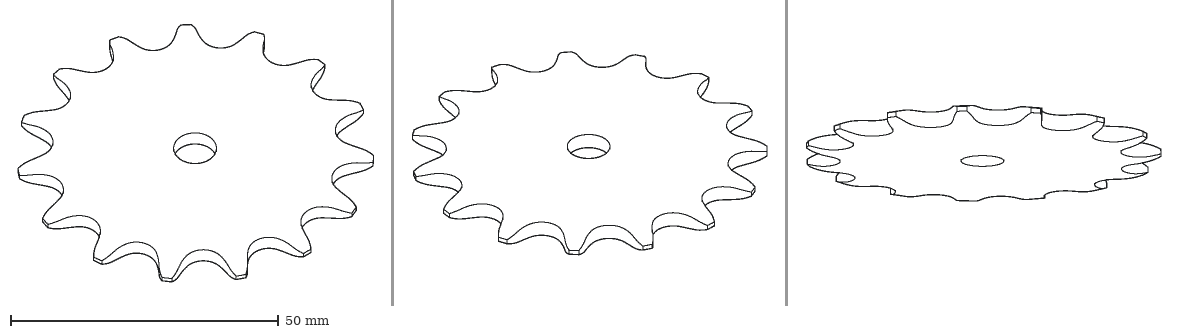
import cadquery as cq
import math


tooth_count = 15
tip_diameter = 66.8
pitch_diameter = 61.1
roller_diameter = 7.7
seating_clearance = 0.07
thickness = 3.0
bore_diameter = 8.0
side_curve_start_radius = 28.4
blank_margin = 0.65

tip_radius = tip_diameter / 2
pitch_radius = pitch_diameter / 2
half_thickness = thickness / 2
quarter_turn = math.pi / 2
tooth_step = 2 * math.pi / tooth_count
half_step = tooth_step / 2
first_tooth_angle = -quarter_turn
side_curve_radius = pitch_diameter * math.sin(half_step)

seating_radius = (1.005 * roller_diameter + seating_clearance) / 2
working_radius = 1.3025 * roller_diameter + seating_clearance / 2
seating_angle = math.radians(35 + 60 / tooth_count)
working_angle = math.radians(18 - 56 / tooth_count)
topping_angle = math.radians(17 - 64 / tooth_count)
flank_angle = seating_angle - working_angle
working_offset = 0.8 * roller_diameter
topping_offset = 1.4 * roller_diameter
topping_radius = (
    working_offset * math.cos(working_angle)
    + topping_offset * math.cos(topping_angle)
    - working_radius
)
flank_length = (
    topping_offset * math.sin(topping_angle)
    - working_offset * math.sin(working_angle)
)


def move(point, distance, angle):
    """Point moved by a distance along a direction."""
    return (point[0] + distance * math.cos(angle), point[1] + distance * math.sin(angle))


def turn(point, angle):
    """Point turned about the sprocket centre."""
    x, y = point
    return (
        x * math.cos(angle) - y * math.sin(angle),
        x * math.sin(angle) + y * math.cos(angle),
    )


def mirror(point):
    """Point mirrored across the Y axis."""
    return (-point[0], point[1])


roller_centre = (0, pitch_radius)
working_centre = move(roller_centre, working_offset, seating_angle)
topping_centre = move(roller_centre, topping_offset, math.pi + half_step)

seating_end_direction = math.pi + seating_angle
seating_middle_direction = (3 * quarter_turn + seating_end_direction) / 2
gap_root = move(roller_centre, seating_radius, 3 * quarter_turn)
seating_middle = move(roller_centre, seating_radius, seating_middle_direction)
seating_end = move(roller_centre, seating_radius, seating_end_direction)

working_middle_direction = math.pi + (seating_angle + flank_angle) / 2
working_middle = move(working_centre, working_radius, working_middle_direction)
working_end = move(working_centre, working_radius, math.pi + flank_angle)
flank_end = move(working_end, flank_length, flank_angle + quarter_turn)

topping_distance = math.hypot(topping_centre[0], topping_centre[1])
topping_centre_direction = math.atan2(topping_centre[1], topping_centre[0])
tip_corner_turn = math.acos(
    (topping_distance**2 + tip_radius**2 - topping_radius**2)
    / (2 * topping_distance * tip_radius)
)
tip_corner = move((0, 0), tip_radius, topping_centre_direction - tip_corner_turn)
tip_corner_direction = math.atan2(
    tip_corner[1] - topping_centre[1], tip_corner[0] - topping_centre[0]
)
topping_middle_direction = (flank_angle + tip_corner_direction) / 2
topping_middle = move(topping_centre, topping_radius, topping_middle_direction)

flank_points = [
    gap_root,
    seating_middle,
    seating_end,
    working_middle,
    working_end,
    flank_end,
    topping_middle,
    tip_corner,
]


def add_tooth(outline, tooth_angle):
    """Continue the outline counter-clockwise over one tooth, from gap root to gap root."""
    rising_turn = tooth_angle - half_step - quarter_turn
    falling_turn = tooth_angle + half_step - quarter_turn
    rising = [turn(point, rising_turn) for point in flank_points]
    falling = [turn(mirror(point), falling_turn) for point in reversed(flank_points)]
    tip_middle = move((0, 0), tip_radius, tooth_angle)
    return (
        outline.threePointArc(rising[1], rising[2])
        .threePointArc(rising[3], rising[4])
        .lineTo(*rising[5])
        .threePointArc(rising[6], rising[7])
        .threePointArc(tip_middle, falling[0])
        .threePointArc(falling[1], falling[2])
        .lineTo(*falling[3])
        .threePointArc(falling[4], falling[5])
        .threePointArc(falling[6], falling[7])
    )


def make_toothed_plate():
    """Full-thickness plate with the tooth outline."""
    start = turn(gap_root, first_tooth_angle - half_step - quarter_turn)
    outline = cq.Workplane("XY").workplane(offset=-half_thickness).moveTo(*start)
    for tooth in range(tooth_count):
        outline = add_tooth(outline, first_tooth_angle + tooth * tooth_step)
    return outline.close().extrude(thickness)


def make_turned_blank():
    """Disc whose flat sides curve in towards the rim, slightly larger than the teeth."""
    rim_radius = tip_radius + blank_margin
    curve_centre = (side_curve_start_radius, half_thickness - side_curve_radius)
    rim_direction = math.acos((rim_radius - side_curve_start_radius) / side_curve_radius)
    middle_direction = (quarter_turn + rim_direction) / 2
    curve_middle = move(curve_centre, side_curve_radius, middle_direction)
    curve_end = move(curve_centre, side_curve_radius, rim_direction)
    return (
        cq.Workplane("XZ")
        .moveTo(0, -half_thickness)
        .lineTo(side_curve_start_radius, -half_thickness)
        .threePointArc((curve_middle[0], -curve_middle[1]), (curve_end[0], -curve_end[1]))
        .lineTo(*curve_end)
        .threePointArc(curve_middle, (side_curve_start_radius, half_thickness))
        .lineTo(0, half_thickness)
        .close()
        .revolve(360, (0, 0), (0, 1))
    )


def make_bore():
    """Through hole on the sprocket axis."""
    bottom = cq.Workplane("XY").workplane(offset=-half_thickness)
    return bottom.circle(bore_diameter / 2).extrude(thickness)


result = make_toothed_plate().intersect(make_turned_blank()).cut(make_bore())